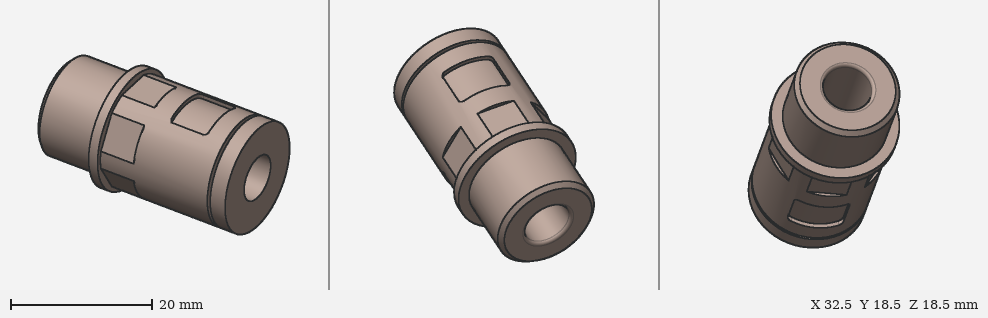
import cadquery as cq

TOTAL_LENGTH = 32.5
SPIGOT_LENGTH = 10.0
FLANGE_THICKNESS = 1.5
FLAT_LENGTH = 5.5
GROOVE_WIDTH = 0.5
END_RING_LENGTH = 2.5

SPIGOT_DIAMETER = 15.2
FLANGE_DIAMETER = 18.5
BODY_DIAMETER = 17.0
GROOVE_DIAMETER = 12.4
BORE_DIAMETER = 7.0

SPIGOT_CHAMFER = 0.7
BORE_ROUNDING = 0.5

FLAT_COUNT = 6
ACROSS_FLATS = 16.0

RECESS_START = 20.25
RECESS_LENGTH = 6.25
RECESS_WIDTH = 8.0
RECESS_CORNER_RADIUS = 0.6
RECESS_FLOOR_DIAMETER = 15.7

FLANGE_END = SPIGOT_LENGTH + FLANGE_THICKNESS
RING_START = TOTAL_LENGTH - END_RING_LENGTH
GROOVE_START = RING_START - GROOVE_WIDTH


def cylinder(start, length, diameter):
    """Solid cylinder on the X axis."""
    return cq.Workplane("YZ").workplane(offset=start).circle(diameter / 2).extrude(length)


def make_turned_body():
    """Chamfered spigot, flange, main sleeve, groove neck and end ring."""
    spigot = cylinder(0, SPIGOT_LENGTH, SPIGOT_DIAMETER).faces("<X").chamfer(SPIGOT_CHAMFER)
    flange = cylinder(SPIGOT_LENGTH, FLANGE_THICKNESS, FLANGE_DIAMETER)
    sleeve = cylinder(FLANGE_END, GROOVE_START - FLANGE_END, BODY_DIAMETER)
    neck = cylinder(GROOVE_START, GROOVE_WIDTH, GROOVE_DIAMETER)
    ring = cylinder(RING_START, END_RING_LENGTH, BODY_DIAMETER)
    return spigot.union(flange).union(sleeve).union(neck).union(ring)


def cut_wrench_flats(body):
    """Cut flats behind the flange, with one pair facing up and down."""
    flat_cutter = cq.Workplane("XY").box(
        FLAT_LENGTH, BODY_DIAMETER, BODY_DIAMETER, centered=(False, True, False)
    ).translate((FLANGE_END, 0, ACROSS_FLATS / 2))
    for index in range(FLAT_COUNT):
        angle = index * 360 / FLAT_COUNT
        body = body.cut(flat_cutter.rotate((0, 0, 0), (1, 0, 0), angle))
    return body


def cut_grip_recesses(body):
    """Cut round-cornered recesses whose floors are concentric with the body."""
    window = (
        cq.Workplane("XY")
        .center(RECESS_START + RECESS_LENGTH / 2, 0)
        .rect(RECESS_LENGTH, RECESS_WIDTH)
        .extrude(BODY_DIAMETER, both=True)
        .edges("|Z")
        .fillet(RECESS_CORNER_RADIUS)
    )
    core = cylinder(0, TOTAL_LENGTH, RECESS_FLOOR_DIAMETER)
    return body.cut(window.cut(core))


def cut_bore(body):
    """Cut the through bore and round its edge at the spigot end."""
    bored = body.cut(cylinder(0, TOTAL_LENGTH, BORE_DIAMETER))
    bore_edge = bored.faces("<X").edges(cq.selectors.RadiusNthSelector(0))
    return bore_edge.fillet(BORE_ROUNDING)


result = cut_bore(cut_grip_recesses(cut_wrench_flats(make_turned_body())))